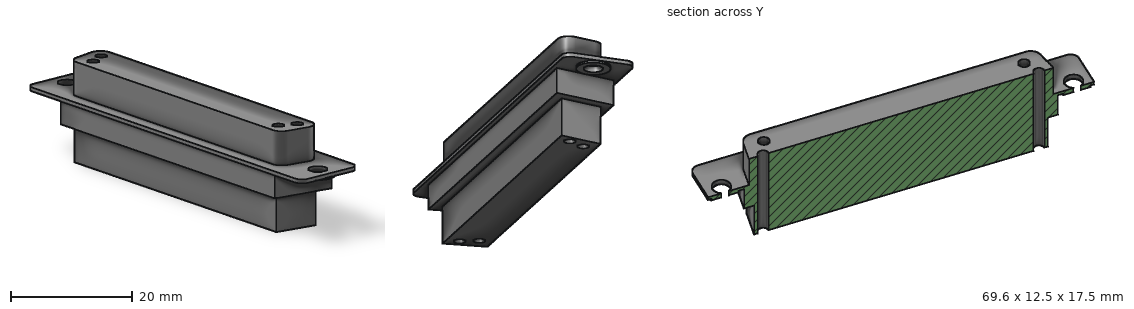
import cadquery as cq
import math

flange_length = 69.6
flange_width = 12.5
flange_thickness = 0.7
flange_corner_radius = 1.5

flank_angle = 10.0
shell_length = 55.75
shell_width = 7.8
shell_height = 5.9
shell_corner_radius = 1.95
housing_length = 58.05
housing_width = 10.8
housing_height = 4.4
rear_length = 53.8
rear_width = 7.45
rear_height = 6.55

mount_spacing = 63.5
mount_hole_diameter = 3.2
boss_diameter = 5.7
boss_height = 0.35

contact_diameter = 1.95
contact_row_offset = 1.45
long_row_spacing = 49.7
short_row_spacing = 46.9

housing_bottom = rear_height
flange_bottom = housing_bottom + housing_height
flange_top = flange_bottom + flange_thickness
total_height = flange_top + shell_height


def d_block(length, width, height, bottom):
    """Symmetric trapezoidal block whose ends taper inward toward -Y."""
    long_half = length / 2
    short_half = long_half - width * math.tan(math.radians(flank_angle))
    outline = [
        (-long_half, width / 2),
        (long_half, width / 2),
        (short_half, -width / 2),
        (-short_half, -width / 2),
    ]
    return cq.Workplane("XY").workplane(offset=bottom).polyline(outline).close().extrude(height)


def cylinders(points, diameter, bottom, height):
    """Equal vertical cylinders at the given points."""
    return cq.Workplane("XY").workplane(offset=bottom).pushPoints(points).circle(diameter / 2).extrude(height)


flange = (
    cq.Workplane("XY")
    .workplane(offset=flange_bottom)
    .rect(flange_length, flange_width)
    .extrude(flange_thickness)
    .edges("|Z")
    .fillet(flange_corner_radius)
)

shell = d_block(shell_length, shell_width, shell_height, flange_top)
shell = shell.edges("|Z").fillet(shell_corner_radius)
housing = d_block(housing_length, housing_width, housing_height, housing_bottom)
rear_block = d_block(rear_length, rear_width, rear_height, 0)

mount_points = [(side * mount_spacing / 2, 0) for side in (-1, 1)]
bosses = cylinders(mount_points, boss_diameter, flange_bottom - boss_height, boss_height)

contact_points = []
for side in (-1, 1):
    contact_points.append((side * long_row_spacing / 2, contact_row_offset))
    contact_points.append((side * short_row_spacing / 2, -contact_row_offset))
mount_holes = cylinders(mount_points, mount_hole_diameter, 0, total_height)
contact_holes = cylinders(contact_points, contact_diameter, 0, total_height)

body = flange.union(shell).union(housing).union(rear_block).union(bosses)
result = body.cut(mount_holes).cut(contact_holes)